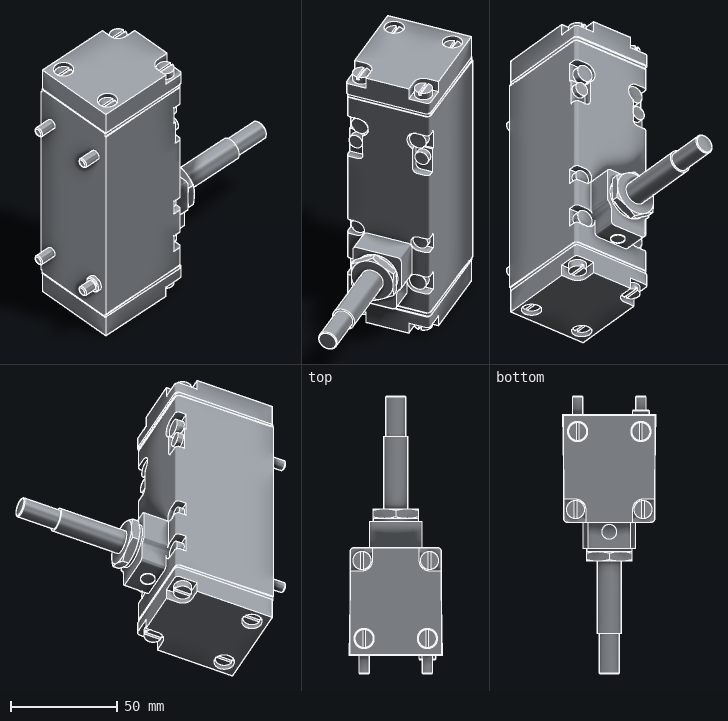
import cadquery as cq
import math

total_height = 142.0
body_width = 44.0
body_depth = 50.5
side_draft = 1.0
edge_radius = 1.8

cap_width = 43.0
cap_height = 12.0
cap_setback = 0.4
cap_overhang = 0.3
gasket_height = 1.8
gasket_width = 42.9
gasket_setback = 0.4

screw_head_diameter = 8.5
screw_clearance_diameter = 9.8
cap_screw_recess = 5.8
cap_head_height = 3.7
driver_slot_width = 1.3
driver_slot_depth = 1.4
front_cap_screw_x = 14.9
front_cap_screw_y = 8.0
rear_cap_screw_x = 15.9
rear_cap_screw_inset = 6.1
front_cap_bore_diameter = 9.5

mount_x = 14.9
mount_z = 41.0
pin_diameter = 5.0
pin_length = 8.8
pin_chamfer = 0.5
mount_recess = 5.1
mount_head_height = 3.7

bush_diameter = 8.0
bush_length = 2.3
bush_tip_diameter = 7.0

plate_screw_x = 15.9
plate_screw_z = -17.9
plate_screw_diameter = 7.5
plate_clearance_diameter = 8.0
plate_head_height = 2.8

override_top = 36.6
override_bottom = 22.9
override_recess = 4.1
override_inner_x = 12.8
override_corner_radius = 2.5
button_diameter = 7.0
button_height = 2.8
button_x = 16.9
button_z = 31.4

block_width = 24.8
block_top = -19.0
block_bottom = -49.5
block_length = 12.6
block_shoulder_radius = 2.3
block_foot_radius = 2.1
boss_diameter = 7.0
boss_height = 0.4
boss_inset = 8.0
cable_z = -31.2
gland_diameter = 21.5
collar_length = 1.4
nut_length = 4.4
nut_sides = 6
nut_bevel_angle = 22.0
sleeve_diameter = 11.4
sleeve_end = 103.2
cable_diameter = 9.5
cable_end = 122.3
cable_chamfer = 0.4

cap_inner_z = total_height / 2 - cap_height
body_half_height = cap_inner_z - gasket_height
block_end = body_depth + block_length
collar_end = block_end + collar_length
nut_end = collar_end + nut_length
cap_rear = body_depth + cap_overhang
rear_cap_screw_y = cap_rear - rear_cap_screw_inset
reach = body_width


def box(x_range, y_range, z_range):
    """Box between the given limits."""
    sizes = [high - low for low, high in (x_range, y_range, z_range)]
    corner = (x_range[0], y_range[0], z_range[0])
    return cq.Workplane("XY").box(*sizes, centered=False).translate(corner)


def rod_y(diameter, x, z, y_start, y_end):
    """Cylinder along +Y."""
    plane = cq.Workplane("XZ", origin=(x, y_start, z))
    return plane.circle(diameter / 2).extrude(y_start - y_end)


def rod_z(diameter, x, y, z_start, z_end):
    """Cylinder along +Z."""
    plane = cq.Workplane("XY", origin=(x, y, z_start))
    return plane.circle(diameter / 2).extrude(z_end - z_start)


def prism(width, y_start, y_end, z_start, z_end):
    """Upright block with rounded rear vertical edges."""
    block = box((-width / 2, width / 2), (y_start, y_end), (z_start, z_end))
    return block.edges("|Z and >Y").fillet(edge_radius)


def make_body():
    """Drafted main body, widest at the mounting face."""
    rear_half = body_width / 2 - body_depth * math.tan(math.radians(side_draft))
    outline = [
        (-body_width / 2, 0),
        (body_width / 2, 0),
        (rear_half, body_depth),
        (-rear_half, body_depth),
    ]
    plane = cq.Workplane("XY", origin=(0, 0, -body_half_height))
    body = plane.polyline(outline).close().extrude(2 * body_half_height)
    return body.edges("|Z and >Y").fillet(edge_radius)


def slotted_head(x, y, floor_z):
    """Cap screw head standing on the floor of its recess."""
    top = floor_z + cap_head_height
    half_slot = driver_slot_width / 2
    half_length = screw_head_diameter
    slot = box(
        (x - half_slot, x + half_slot),
        (y - half_length, y + half_length),
        (top - driver_slot_depth, top),
    )
    return rod_z(screw_head_diameter, x, y, floor_z, top).cut(slot)


def corner_notch(side, floor_z):
    """Notch at a rear cap corner, rounded around the screw head."""
    x = rear_cap_screw_x
    y = rear_cap_screw_y
    radius = screw_clearance_diameter / 2
    top = total_height / 2
    notch = box((x - radius, x + reach), (y - radius, y + reach), (floor_z, top))
    notch = notch.edges("|Z and <X and <Y").fillet(radius)
    return notch if side > 0 else notch.mirror("YZ")


def make_cap():
    """Upper end cap with its gasket and four screws."""
    top = total_height / 2
    floor_z = top - cap_screw_recess
    cap = prism(cap_width, cap_setback, cap_rear, cap_inner_z, top)
    cap = cap.union(
        prism(gasket_width, 0, body_depth - gasket_setback, body_half_height, cap_inner_z)
    )
    for side in (-1, 1):
        front_x = side * front_cap_screw_x
        cap = cap.cut(rod_z(front_cap_bore_diameter, front_x, front_cap_screw_y, floor_z, top))
        cap = cap.cut(corner_notch(side, floor_z))
        cap = cap.union(slotted_head(front_x, front_cap_screw_y, floor_z))
        cap = cap.union(slotted_head(side * rear_cap_screw_x, rear_cap_screw_y, floor_z))
    return cap


def side_pocket(side, diameter, x, z, floor_y):
    """Round-ended pocket in the rear face, open to one side."""
    radius = diameter / 2
    x_range = sorted((side * x, side * (x + reach)))
    pocket = box(x_range, (floor_y, body_depth), (z - radius, z + radius))
    return pocket.union(rod_y(diameter, side * x, z, floor_y, body_depth))


def add_rear_screw(part, side, z, x, clearance, diameter, head_height):
    """Sink a screw head into the rear face beside a body edge."""
    floor_y = body_depth - mount_recess
    part = part.cut(side_pocket(side, clearance, x, z, floor_y))
    return part.union(rod_y(diameter, side * x, z, floor_y, floor_y + head_height))


def add_override(part, side):
    """Corner pocket below the upper mounting screw, with its button."""
    floor_y = body_depth - override_recess
    pocket = box(
        (override_inner_x, reach),
        (floor_y, body_depth),
        (override_bottom, override_top),
    )
    pocket = pocket.edges("|Y and <X and <Z").fillet(override_corner_radius)
    button = rod_y(button_diameter, button_x, button_z, floor_y, floor_y + button_height)
    if side < 0:
        pocket = pocket.mirror("YZ")
        button = button.mirror("YZ")
    return part.cut(pocket).union(button)


def make_pin(x, z):
    """Threaded end of a mounting screw, bevelled at its tip."""
    return rod_y(pin_diameter, x, z, -pin_length, 0).faces("<Y").chamfer(pin_chamfer)


def make_bush():
    """Locating bush with a bevelled rim."""
    bevel = (bush_diameter - bush_tip_diameter) / 2
    bush = rod_y(bush_diameter, mount_x, -mount_z, -bush_length, 0)
    return bush.faces("<Y").chamfer(bevel)


def make_cable_block():
    """Block that narrows around the heads of the lower mounting screws."""
    radius = screw_clearance_diameter / 2
    half_foot = mount_x - radius
    block = box(
        (-block_width / 2, block_width / 2),
        (body_depth, block_end),
        (block_bottom, block_top),
    )
    for side in (-1, 1):
        x_range = sorted((side * half_foot, side * reach))
        below = box(x_range, (body_depth, block_end), (block_bottom, -mount_z))
        around_head = rod_y(screw_clearance_diameter, side * mount_x, -mount_z, body_depth, block_end)
        block = block.cut(below).cut(around_head)
    block = block.edges("|Y and >Z").fillet(edge_radius)
    block = block.edges("|Y and (<X or >X)").fillet(block_shoulder_radius)
    block = block.edges("|Y and <Z").fillet(block_foot_radius)
    boss_y = block_end - boss_inset
    return block.union(rod_z(boss_diameter, 0, boss_y, block_bottom - boss_height, block_bottom))


def make_nut():
    """Hexagon nut with two corners up and down and both rims bevelled."""
    corner_diameter = gland_diameter / math.cos(math.pi / nut_sides)
    corner_rise = (corner_diameter - gland_diameter) / 2
    bevel_length = corner_rise * math.tan(math.radians(nut_bevel_angle))
    plane = cq.Workplane("XZ", origin=(0, collar_end, cable_z))
    hexagon = plane.polygon(nut_sides, corner_diameter).extrude(-nut_length)
    hexagon = hexagon.rotate((0, 0, cable_z), (0, 1, cable_z), 180 / nut_sides)
    envelope = rod_y(corner_diameter, 0, cable_z, collar_end, nut_end)
    envelope = envelope.faces("<Y or >Y").chamfer(bevel_length, corner_rise)
    return hexagon.intersect(envelope)


def make_cable():
    """Gland collar, nut, sleeve and stripped cable end."""
    collar = rod_y(gland_diameter, 0, cable_z, block_end, collar_end)
    sleeve = rod_y(sleeve_diameter, 0, cable_z, nut_end, sleeve_end)
    cable = rod_y(cable_diameter, 0, cable_z, sleeve_end, cable_end)
    cable = cable.faces(">Y").chamfer(cable_chamfer)
    return collar.union(make_nut()).union(sleeve).union(cable)


upper_cap = make_cap()
result = make_body().union(upper_cap).union(upper_cap.mirror("XY"))

for side in (-1, 1):
    for z in (-mount_z, mount_z):
        result = add_rear_screw(
            result, side, z, mount_x, screw_clearance_diameter, screw_head_diameter, mount_head_height
        )
        result = result.union(make_pin(side * mount_x, z))
    result = add_rear_screw(
        result, side, plate_screw_z, plate_screw_x,
        plate_clearance_diameter, plate_screw_diameter, plate_head_height,
    )
    result = add_override(result, side)

result = result.union(make_bush()).union(make_cable_block()).union(make_cable())